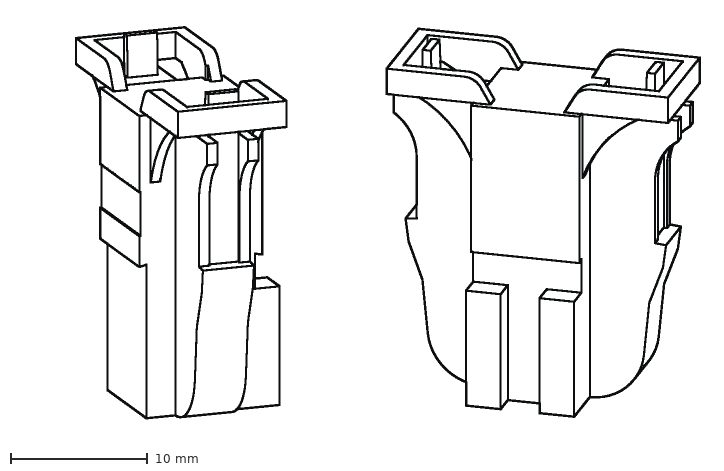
import cadquery as cq
import math

body_half_x = 4.1
lower_half_y = 4.23
upper_half_y = 4.8
body_top = 22.98
upper_bottom = 11.53
lip_rise = 0.13

recess_bottom = 13.87
recess_top = 17.19
recess_depth = 0.1

back_y = 6.15
back_top = 9.0
back_gap_half_x = 1.48

wing_half_y = 2.0
wing_top = 22.35
ear_x = 10.8
ear_bottom = 20.7
neck_x = 9.05
neck_top = 17.45
ledge_x = 9.9
ledge_z = 12.5
ledge_lower_x = 9.66
ledge_lower_z = 10.74
waist_x = 8.62
waist_z = 7.85
foot_x = 8.2
foot_z = 3.7

tongue_half_y = 1.17
tongue_outer_x = 8.82
tongue_tip_x = 8.2
tongue_root_x = 8.08
tongue_top = 25.5
groove_bottom = 12.6

frame_x = 10.68
frame_wall_x = 1.0
frame_inner_half_y = 3.15
frame_half_y = lower_half_y
frame_top = 24.96
arm_tip_x = 2.8
arm_round_radius = 1.45
arm_tip_angle = math.radians(60)

thin_tip_x = 3.42
thin_tip_inner_y = 3.37

gusset_inner_y = 3.15
gusset_outer_y = 3.9
gusset_x = 8.52
gusset_bottom = 17.85
gusset_mid = (5.45, 20.4)


def box(x0, x1, y0, y1, z0, z1):
    return cq.Workplane("XY").box(x1 - x0, y1 - y0, z1 - z0, centered=False).translate((x0, y0, z0))


def extrude_y(profile, y0, y1):
    """Extrude a closed XZ outline from y0 to y1."""
    return profile.extrude(y0 - y1).translate((0, y0, 0))


def make_body():
    """Body with a sloping lip under the upper block, a front recess and twin back blocks."""
    body = box(-body_half_x, body_half_x, -lower_half_y, lower_half_y, 0, body_top)
    upper_profile = cq.Workplane("YZ").polyline([
        (-upper_half_y, body_top),
        (-upper_half_y, upper_bottom),
        (-lower_half_y, upper_bottom + lip_rise),
        (lower_half_y, upper_bottom + lip_rise),
        (upper_half_y, upper_bottom),
        (upper_half_y, body_top),
    ]).close()
    body = body.union(upper_profile.extrude(body_half_x, both=True))
    body = body.cut(box(-body_half_x, body_half_x, -upper_half_y, -upper_half_y + recess_depth,
                        recess_bottom, recess_top))
    body = body.union(box(-body_half_x, body_half_x, lower_half_y, back_y, 0, back_top))
    return body.cut(box(-back_gap_half_x, back_gap_half_x, lower_half_y, back_y, 0, back_top))


def make_wing():
    """Wing on the +X side, with a ledge rising gently into the groove."""
    ledge_slope = (groove_bottom - ledge_z) / (ledge_x - tongue_outer_x)
    ledge_neck_z = ledge_z + ledge_slope * (ledge_x - neck_x)
    profile = (
        cq.Workplane("XZ")
        .moveTo(ear_x, ear_bottom)
        .lineTo(ear_x, wing_top)
        .lineTo(0, wing_top)
        .lineTo(0, 0)
        .lineTo(body_half_x, 0)
        .tangentArcPoint((foot_x, foot_z), relative=False)
        .lineTo(waist_x, waist_z)
        .lineTo(ledge_lower_x, ledge_lower_z)
        .lineTo(ledge_x, ledge_z)
        .lineTo(neck_x, ledge_neck_z)
        .lineTo(neck_x, neck_top)
        .tangentArcPoint((ear_x, ear_bottom), relative=False)
        .close()
    )
    wing = extrude_y(profile, -wing_half_y, wing_half_y)
    groove = cq.Workplane("XZ").polyline([
        (tongue_outer_x, groove_bottom),
        (tongue_outer_x, wing_top),
        (ear_x, wing_top),
        (ear_x, ledge_z),
        (ledge_x, ledge_z),
    ]).close()
    return wing.cut(extrude_y(groove, -tongue_half_y, tongue_half_y))


def make_tongue():
    """Tongue above the wing, its outer face flush with the back of the groove."""
    profile = cq.Workplane("XZ").polyline([
        (tongue_outer_x, wing_top),
        (tongue_outer_x, tongue_top),
        (tongue_tip_x, tongue_top),
        (tongue_root_x, wing_top),
    ]).close()
    return extrude_y(profile, -tongue_half_y, tongue_half_y)


def make_frame():
    """Guard frame on the +X side with rounded, sloping arm tips."""
    round_start_x = arm_tip_x + (
        (frame_top - body_top - arm_round_radius * (1 - math.cos(arm_tip_angle))) / math.tan(arm_tip_angle)
        + arm_round_radius * math.sin(arm_tip_angle)
    )
    round_end = (
        round_start_x - arm_round_radius * math.sin(arm_tip_angle),
        frame_top - arm_round_radius * (1 - math.cos(arm_tip_angle)),
    )
    profile = (
        cq.Workplane("XZ")
        .moveTo(frame_x, body_top)
        .lineTo(frame_x, frame_top)
        .lineTo(round_start_x, frame_top)
        .tangentArcPoint(round_end, relative=False)
        .lineTo(arm_tip_x, body_top)
        .close()
    )
    frame = extrude_y(profile, -frame_half_y, frame_half_y)
    return frame.cut(box(0, frame_x - frame_wall_x, -frame_inner_half_y, frame_inner_half_y,
                         body_top, frame_top))


def make_gusset():
    profile = (
        cq.Workplane("XZ")
        .moveTo(body_half_x, body_top)
        .lineTo(gusset_x, body_top)
        .threePointArc(gusset_mid, (body_half_x, gusset_bottom))
        .close()
    )
    return extrude_y(profile, gusset_inner_y, gusset_outer_y)


gusset = make_gusset()
side = make_wing().union(make_tongue()).union(make_frame())
side = side.union(gusset).union(gusset.mirror("XZ"))

result = make_body().union(side).union(side.mirror("YZ"))
result = result.cut(box(-thin_tip_x, -arm_tip_x, frame_inner_half_y, thin_tip_inner_y, body_top, frame_top))